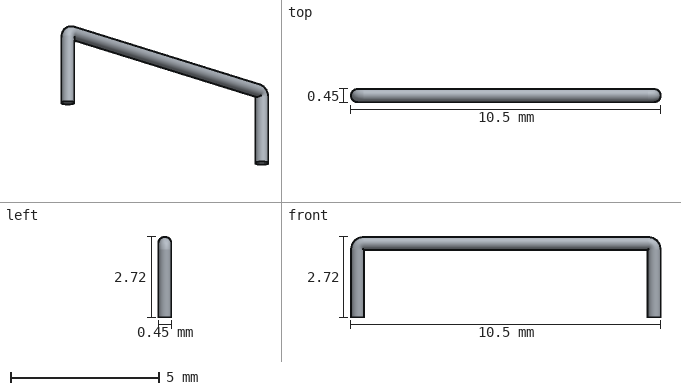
import cadquery as cq

length = 10.45
height = 2.72
wire_diameter = 0.45
bend_radius = 0.2

wire_radius = wire_diameter / 2
leg_x = length / 2 - wire_radius
bend_x = leg_x - bend_radius
bend_z = height - wire_radius - bend_radius
axis_crossing_y = (wire_radius**2 - bend_radius**2) ** 0.5


def make_leg(side):
    """Upright leg; side is -1 for left and 1 for right."""
    return cq.Workplane("XY").center(side * leg_x, 0).circle(wire_radius).extrude(bend_z)


def make_bend(side):
    """Quarter turn of the wire section, cut off at the bend axis."""
    return (
        cq.Workplane("XY", origin=(side * bend_x, 0, bend_z))
        .moveTo(0, -axis_crossing_y)
        .threePointArc((side * (bend_radius + wire_radius), 0), (0, axis_crossing_y))
        .close()
        .revolve(90, (0, 0, 0), (0, -side, 0))
    )


result = (
    cq.Workplane("YZ", origin=(-bend_x, 0, bend_z + bend_radius))
    .circle(wire_radius)
    .extrude(2 * bend_x)
)

for side in (-1, 1):
    result = result.union(make_leg(side)).union(make_bend(side))